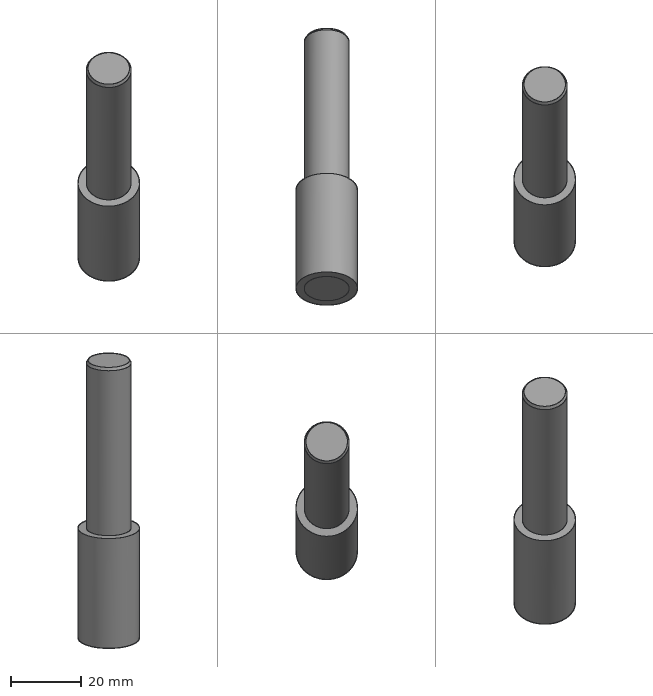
import cadquery as cq

total_height = 84.1
sleeve_diameter = 17.5
sleeve_height = 33.3
pin_diameter = 12.8
chamfer_width = 0.5
chamfer_height = 0.8


def make_pin():
    """Full-length round pin with a chamfered top rim."""
    pin = cq.Workplane("XY").circle(pin_diameter / 2).extrude(total_height)
    return pin.faces(">Z").edges().chamfer(chamfer_height, chamfer_width)


def make_sleeve():
    """Plain tube that fits closely around the lower end of the pin."""
    return (
        cq.Workplane("XY")
        .circle(sleeve_diameter / 2)
        .circle(pin_diameter / 2)
        .extrude(sleeve_height)
    )


pin = make_pin()
sleeve = make_sleeve()

result = cq.Compound.makeCompound([pin.val(), sleeve.val()])